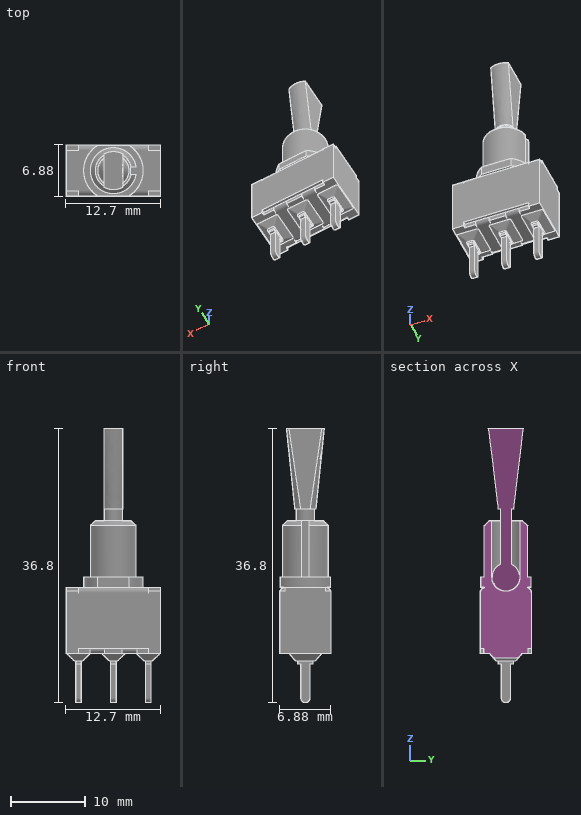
import cadquery as cq
import math


CASE_LENGTH = 12.7
CASE_WIDTH = 6.88
CASE_BOTTOM = 6.6
CASE_TOP = 15.5

FOLD_RADIUS = 0.75
FOLD_LENGTH = 9.4
CORNER_NOTCH_DEPTH = 0.48
OPENING_HEIGHT = 0.65
OPENING_DEPTH = 0.45
GROOVE_RADIUS = 0.5
GROOVE_INNER_X = 1.18
GROOVE_OUTER_X = 3.15

TERMINAL_PITCH = 4.67
TERMINAL_THICKNESS = 0.77
TERMINAL_WIDTH = 1.25
SHOULDER_WIDTH = 2.1
SHOULDER_BOTTOM = 5.2
MOUND_BOTTOM = 5.6
MOUND_TOP_LENGTH = 3.15
MOUND_TOP_WIDTH = 4.38
MOUND_BOTTOM_LENGTH = 1.1
MOUND_BOTTOM_WIDTH = 2.65
MOUND_CORNER_RADIUS = 0.22

COLLAR_DIAMETER = 7.98
COLLAR_FLATS = 6.75
COLLAR_TOP = 16.9
BUSHING_DIAMETER = 6.18
BUSHING_TOP = 24.42
BUSHING_CHAMFER = 0.65
KEYWAY_WIDTH = 1.0
KEYWAY_FLOOR_X = 2.3

BALL_DIAMETER = 4.2
PIVOT_HEIGHT = COLLAR_TOP
STEM_DIAMETER = 2.45
PADDLE_BOTTOM = 25.95
LEVER_TOP = 36.78
PADDLE_THICKNESS = 2.57
PADDLE_BOTTOM_DIAMETER = 2.87
PADDLE_TOP_DIAMETER = 5.1


def box(length, width, bottom, top, x=0, y=0):
    """Upright box centred on (x, y) that runs from height bottom to height top."""
    return (
        cq.Workplane("XY", origin=(x, y, bottom))
        .rect(length, width)
        .extrude(top - bottom)
    )


def disc(diameter, bottom, top):
    """Round bar on the Z axis from height bottom to height top."""
    return cq.Workplane("XY", origin=(0, 0, bottom)).circle(diameter / 2).extrude(top - bottom)


def pivot_ball():
    """Sphere that the lever pivots on, also the shape of its seat."""
    return cq.Workplane("XY", origin=(0, 0, PIVOT_HEIGHT)).sphere(BALL_DIAMETER / 2)


def case():
    """Rectangular case with folded top edges, corner notches and bottom openings."""
    body = box(FOLD_LENGTH, CASE_WIDTH, CASE_BOTTOM, CASE_TOP).edges("|X and >Z").fillet(FOLD_RADIUS)

    end_length = (CASE_LENGTH - FOLD_LENGTH) / 2
    end_x = (CASE_LENGTH - end_length) / 2
    notch_floor = CASE_TOP - CORNER_NOTCH_DEPTH
    ridge_width = CASE_WIDTH - 2 * FOLD_RADIUS
    for side_x in (-1, 1):
        end = box(end_length, CASE_WIDTH, CASE_BOTTOM, notch_floor, x=side_x * end_x)
        ridge = box(end_length, ridge_width, notch_floor, CASE_TOP, x=side_x * end_x)
        body = body.union(end).union(ridge)

    opening_y = (CASE_WIDTH - OPENING_DEPTH) / 2
    opening_top = CASE_BOTTOM + OPENING_HEIGHT
    for side_y in (-1, 1):
        body = body.cut(box(FOLD_LENGTH, OPENING_DEPTH, CASE_BOTTOM, opening_top, y=side_y * opening_y))

    for side_x in (-1, 1):
        for side_y in (-1, 1):
            body = body.cut(edge_rounding(side_x, side_y))
    return body


def edge_rounding(side_x, side_y):
    """Material to remove so that one stretch of the inner bottom edge is round."""
    face_y = CASE_WIDTH / 2 - OPENING_DEPTH
    arc_drop = GROOVE_RADIUS * math.sqrt(0.5)
    centre_y = face_y - GROOVE_RADIUS
    centre_z = CASE_BOTTOM + GROOVE_RADIUS
    middle_x = side_x * (GROOVE_INNER_X + GROOVE_OUTER_X) / 2
    groove_length = GROOVE_OUTER_X - GROOVE_INNER_X
    return (
        cq.Workplane("YZ", origin=(middle_x, 0, 0))
        .moveTo(side_y * face_y, centre_z)
        .threePointArc(
            (side_y * (centre_y + arc_drop), centre_z - arc_drop),
            (side_y * centre_y, CASE_BOTTOM),
        )
        .lineTo(side_y * face_y, CASE_BOTTOM)
        .close()
        .extrude(groove_length / 2, both=True)
    )


def rounded_rectangle(length, width):
    """Outline of a sealing mound at one height."""
    return cq.Sketch().rect(length, width).vertices().fillet(MOUND_CORNER_RADIUS)


def terminal(x):
    """Flat terminal with a rounded tip, a shoulder and a sealing mound."""
    tip_radius = TERMINAL_WIDTH / 2
    blade = (
        cq.Workplane("YZ", origin=(x, 0, 0))
        .moveTo(-tip_radius, CASE_BOTTOM)
        .lineTo(-tip_radius, tip_radius)
        .threePointArc((0, 0), (tip_radius, tip_radius))
        .lineTo(tip_radius, CASE_BOTTOM)
        .close()
        .extrude(TERMINAL_THICKNESS / 2, both=True)
    )
    shoulder = box(TERMINAL_THICKNESS, SHOULDER_WIDTH, SHOULDER_BOTTOM, CASE_BOTTOM, x)
    bottom_outline = rounded_rectangle(MOUND_BOTTOM_LENGTH, MOUND_BOTTOM_WIDTH)
    top_outline = rounded_rectangle(MOUND_TOP_LENGTH, MOUND_TOP_WIDTH)
    rise = cq.Location(cq.Vector(0, 0, CASE_BOTTOM - MOUND_BOTTOM))
    mound = (
        cq.Workplane("XY", origin=(x, 0, MOUND_BOTTOM))
        .placeSketch(bottom_outline, top_outline.moved(rise))
        .loft()
    )
    return blade.union(shoulder).union(mound)


def bushing():
    """Collar with two flats and the chamfered round bushing above it, with its keyway."""
    collar = disc(COLLAR_DIAMETER, CASE_TOP, COLLAR_TOP).intersect(
        box(COLLAR_DIAMETER, COLLAR_FLATS, CASE_TOP, COLLAR_TOP)
    )
    barrel = disc(BUSHING_DIAMETER, COLLAR_TOP, BUSHING_TOP).faces(">Z").chamfer(BUSHING_CHAMFER)
    keyway_depth = BUSHING_DIAMETER / 2 - KEYWAY_FLOOR_X
    keyway = box(
        keyway_depth, KEYWAY_WIDTH, COLLAR_TOP, BUSHING_TOP, KEYWAY_FLOOR_X + keyway_depth / 2
    )
    return collar.union(barrel.cut(keyway))


def make_housing():
    """Case, bushing and terminals, with a round-bottomed bore that seats the pivot ball."""
    housing = case().union(bushing())
    for position in (-1, 0, 1):
        housing = housing.union(terminal(position * TERMINAL_PITCH))
    return housing.cut(disc(BALL_DIAMETER, PIVOT_HEIGHT, BUSHING_TOP)).cut(pivot_ball())


def paddle_outline(diameter, height):
    """Wire of a circle trimmed by two flats, at the given height."""
    half_thickness = PADDLE_THICKNESS / 2
    radius = diameter / 2
    corner_y = math.sqrt(radius**2 - half_thickness**2)
    return (
        cq.Workplane("XY", origin=(0, 0, height))
        .moveTo(-half_thickness, -corner_y)
        .threePointArc((0, -radius), (half_thickness, -corner_y))
        .lineTo(half_thickness, corner_y)
        .threePointArc((0, radius), (-half_thickness, corner_y))
        .close()
        .val()
    )


def make_lever():
    """Pivot ball, round stem and a flat-sided paddle that widens along Y."""
    stem = disc(STEM_DIAMETER, PIVOT_HEIGHT, PADDLE_BOTTOM)
    paddle = cq.Solid.makeLoft(
        [
            paddle_outline(PADDLE_BOTTOM_DIAMETER, PADDLE_BOTTOM),
            paddle_outline(PADDLE_TOP_DIAMETER, LEVER_TOP),
        ],
        ruled=True,
    )
    return pivot_ball().union(stem).union(cq.Workplane(paddle))


housing = make_housing()
lever = make_lever()

result = cq.Compound.makeCompound([housing.solids().val(), lever.solids().val()])